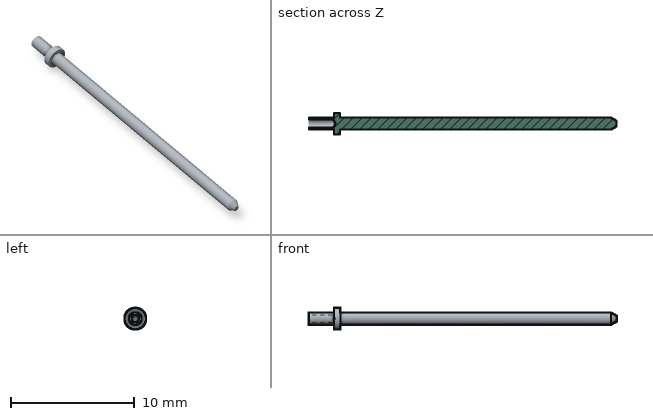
import cadquery as cq
import math

total_length = 24.95
pin_diameter = 1.02

collar_diameter = 1.77
collar_start = 2.05
collar_width = 0.52

tip_length = 0.5
tip_diameter = 0.45

hole_diameter = 0.6
hole_depth = 2.0
drill_point_angle = 118.0


def cylinder(diameter, start, length):
    """Solid cylinder along +X starting at the given X."""
    return cq.Workplane("YZ", origin=(start, 0, 0)).circle(diameter / 2).extrude(length)


def conical_tip():
    """Truncated cone that closes the +X end."""
    return (
        cq.Workplane("YZ", origin=(total_length - tip_length, 0, 0))
        .circle(pin_diameter / 2)
        .workplane(offset=tip_length)
        .circle(tip_diameter / 2)
        .loft(ruled=True)
    )


def drilled_hole():
    """Cutter for the tail hole: a straight bore ending in a cone."""
    hole_radius = hole_diameter / 2
    point_length = hole_radius / math.tan(math.radians(drill_point_angle / 2))
    return (
        cq.Workplane("XY")
        .lineTo(0, hole_radius)
        .lineTo(hole_depth, hole_radius)
        .lineTo(hole_depth + point_length, 0)
        .close()
        .revolve(360, (0, 0, 0), (1, 0, 0))
    )


shaft = cylinder(pin_diameter, 0, total_length - tip_length)
collar = cylinder(collar_diameter, collar_start, collar_width)

result = shaft.union(collar).union(conical_tip()).cut(drilled_hole())